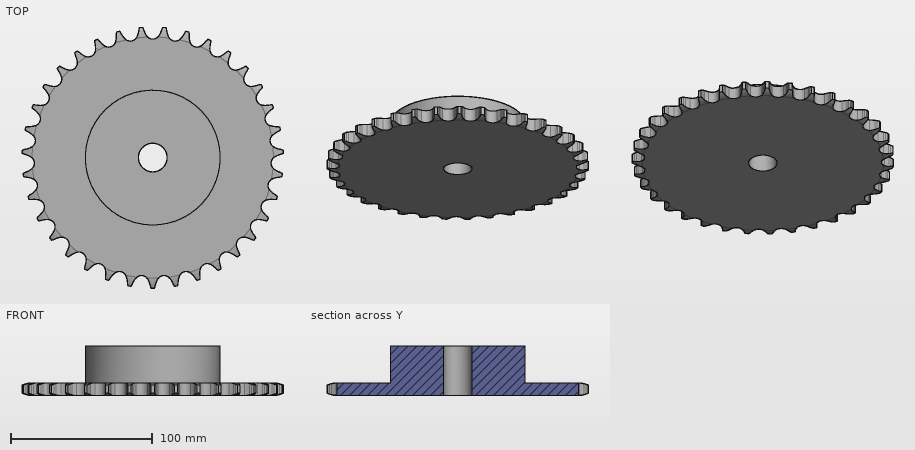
import cadquery as cq
import math

TOOTH_COUNT = 35
ROLLER_DIAMETER = 10.1
PITCH_DIAMETER = 177.2
OVERALL_WIDTH = 184.0
TIP_WIDTH = 2.2
DISC_THICKNESS = 9.0
HUB_DIAMETER = 95.0
BORE_DIAMETER = 20.0
TOTAL_HEIGHT = 35.0
SIDE_RELIEF = 1.7
SIDE_RELIEF_RADIUS = 16.0
FIRST_TOOTH_ANGLE = -90.0

HALF_PITCH_ANGLE = 180 / TOOTH_COUNT
SEATING_END_ANGLE = 35 + 60 / TOOTH_COUNT
WORKING_SPAN_ANGLE = 18 - 56 / TOOTH_COUNT
TOPPING_ANGLE = 17 - 64 / TOOTH_COUNT
SEATING_RADIUS = 0.5025 * ROLLER_DIAMETER
WORKING_RADIUS = 1.3025 * ROLLER_DIAMETER
WORKING_OFFSET = WORKING_RADIUS - SEATING_RADIUS
TOPPING_OFFSET = 1.4 * ROLLER_DIAMETER
TOPPING_RADIUS = (
    WORKING_OFFSET * math.cos(math.radians(WORKING_SPAN_ANGLE))
    + TOPPING_OFFSET * math.cos(math.radians(TOPPING_ANGLE))
    - WORKING_RADIUS
)

PITCH_RADIUS = PITCH_DIAMETER / 2

OFF_AXIS_ANGLE = math.radians(HALF_PITCH_ANGLE / 2)
TIP_HEIGHT = (OVERALL_WIDTH - TIP_WIDTH * math.sin(OFF_AXIS_ANGLE)) / 2 / math.cos(OFF_AXIS_ANGLE)
TIP_RADIUS = math.hypot(TIP_HEIGHT, TIP_WIDTH / 2)
CUT_CLEARANCE = 1.8
CUT_RADIUS = TIP_RADIUS + CUT_CLEARANCE


def polar(center, radius, angle):
    """Point at the given radius and angle (degrees) from a center."""
    a = math.radians(angle)
    return (center[0] + radius * math.cos(a), center[1] + radius * math.sin(a))


def mirrored(point):
    """Reflection of a point across the Y axis."""
    return (-point[0], point[1])


def tooth_gap():
    """Cutter for the gap centered on +Y, from the seating arc out past the tips."""
    roller = (0, PITCH_RADIUS)
    working_center = polar(roller, WORKING_OFFSET, 180 - SEATING_END_ANGLE)
    topping_center = polar(roller, TOPPING_OFFSET, -HALF_PITCH_ANGLE)
    flank_normal = WORKING_SPAN_ANGLE - SEATING_END_ANGLE

    root = (0, PITCH_RADIUS - SEATING_RADIUS)
    seating_end = polar(roller, SEATING_RADIUS, -SEATING_END_ANGLE)
    working_mid = polar(working_center, WORKING_RADIUS, WORKING_SPAN_ANGLE / 2 - SEATING_END_ANGLE)
    working_end = polar(working_center, WORKING_RADIUS, flank_normal)
    topping_start = polar(topping_center, TOPPING_RADIUS, 180 + flank_normal)
    topping_rise = CUT_RADIUS - topping_center[1]
    topping_end_angle = 180 - math.degrees(math.asin(topping_rise / TOPPING_RADIUS))
    topping_mid = polar(topping_center, TOPPING_RADIUS, (180 + flank_normal + topping_end_angle) / 2)
    topping_end = polar(topping_center, TOPPING_RADIUS, topping_end_angle)

    return (
        cq.Workplane("XY")
        .moveTo(*mirrored(seating_end))
        .threePointArc(root, seating_end)
        .threePointArc(working_mid, working_end)
        .lineTo(*topping_start)
        .threePointArc(topping_mid, topping_end)
        .lineTo(*mirrored(topping_end))
        .threePointArc(mirrored(topping_mid), mirrored(topping_start))
        .lineTo(*mirrored(working_end))
        .threePointArc(mirrored(working_mid), mirrored(seating_end))
        .close()
        .extrude(DISC_THICKNESS)
    )


def disc_blank():
    """Revolved disc whose rim is relieved on both faces by tangent arcs."""
    relief_angle = math.degrees(math.acos(1 - SIDE_RELIEF / SIDE_RELIEF_RADIUS))
    relief_start = TIP_RADIUS - SIDE_RELIEF_RADIUS * math.sin(math.radians(relief_angle))
    lower_center = (relief_start, SIDE_RELIEF_RADIUS)
    upper_center = (relief_start, DISC_THICKNESS - SIDE_RELIEF_RADIUS)
    return (
        cq.Workplane("XZ")
        .moveTo(0, 0)
        .lineTo(relief_start, 0)
        .threePointArc(
            polar(lower_center, SIDE_RELIEF_RADIUS, relief_angle / 2 - 90),
            (TIP_RADIUS, SIDE_RELIEF),
        )
        .lineTo(TIP_RADIUS, DISC_THICKNESS - SIDE_RELIEF)
        .threePointArc(
            polar(upper_center, SIDE_RELIEF_RADIUS, 90 - relief_angle / 2),
            (relief_start, DISC_THICKNESS),
        )
        .lineTo(0, DISC_THICKNESS)
        .close()
        .revolve(360, (0, 0, 0), (0, 1, 0))
    )


def toothed_disc():
    """Relieved disc with the tooth gaps cut evenly around it."""
    gap = tooth_gap().val()
    first_gap_turn = FIRST_TOOTH_ANGLE + HALF_PITCH_ANGLE - 90
    gaps = []
    for index in range(TOOTH_COUNT):
        turn = first_gap_turn + index * 2 * HALF_PITCH_ANGLE
        gaps.append(gap.rotate(cq.Vector(0, 0, 0), cq.Vector(0, 0, 1), turn))
    return disc_blank().cut(cq.Workplane(obj=cq.Compound.makeCompound(gaps)))


hub = cq.Workplane("XY").circle(HUB_DIAMETER / 2).extrude(TOTAL_HEIGHT)
bore = cq.Workplane("XY").circle(BORE_DIAMETER / 2).extrude(TOTAL_HEIGHT)

result = toothed_disc().union(hub).cut(bore)